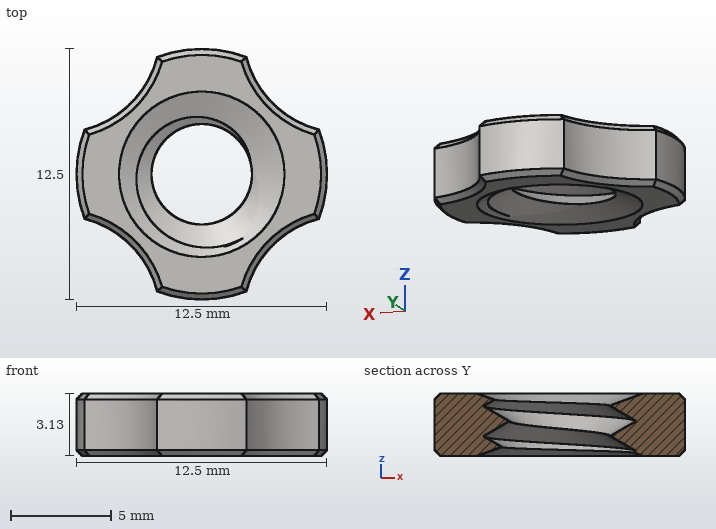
import cadquery as cq
import math

body_diameter = 12.5
body_radius = body_diameter / 2
thickness = body_diameter / 4
edge_chamfer = 0.3
scallop_count = 4
scallop_radius = 5.0
scallop_center_radius = 10.0
first_scallop_angle = 180 / scallop_count

bore_radius = 2.5
countersink_radius = 4.125
countersink_angle = 20.0
countersink_slope = math.tan(math.radians(countersink_angle))
countersink_depth = (countersink_radius - bore_radius) * countersink_slope

pitch = 1.5
flank_angle = 30.0
crest_flat = 0.01
groove_overlap = 0.2
overrun_turns = 1
root_exit_angle = -57.6


def make_body():
    body = cq.Workplane("XY").circle(body_radius).extrude(thickness)
    scallops = (
        cq.Workplane("XY")
        .polarArray(scallop_center_radius, first_scallop_angle, 360, scallop_count)
        .circle(scallop_radius)
        .extrude(thickness)
    )
    return body.cut(scallops).faces("<Z or >Z").chamfer(edge_chamfer)


def make_bore():
    return cq.Workplane("XY").circle(bore_radius).extrude(thickness)


def make_countersinks():
    lower = (
        cq.Workplane("XZ")
        .lineTo(countersink_radius, 0)
        .lineTo(bore_radius, countersink_depth)
        .lineTo(0, countersink_depth)
        .close()
        .revolve(360, (0, 0), (0, 1))
    )
    upper = lower.mirror("XY").translate((0, 0, thickness))
    return lower, upper


def make_thread_groove():
    """V groove swept along a helix that overruns both faces of the body."""
    half_width = (pitch - crest_flat) / 2
    root_radius = bore_radius + half_width / math.tan(math.radians(flank_angle))
    inner_radius = bore_radius - groove_overlap

    root_exit_height = thickness - (countersink_radius - root_radius) * countersink_slope
    turns_below_exit = math.ceil(thickness / pitch) + overrun_turns
    turns = turns_below_exit + overrun_turns
    start_height = root_exit_height - turns_below_exit * pitch

    helix = cq.Wire.makeHelix(pitch, turns * pitch, bore_radius)
    groove = (
        cq.Workplane("XZ")
        .moveTo(inner_radius, -half_width)
        .lineTo(bore_radius, -half_width)
        .lineTo(root_radius, 0)
        .lineTo(bore_radius, half_width)
        .lineTo(inner_radius, half_width)
        .close()
        .sweep(cq.Workplane(obj=helix), isFrenet=True)
    )
    return groove.rotate((0, 0, 0), (0, 0, 1), root_exit_angle).translate((0, 0, start_height))


result = make_body().cut(make_bore())
for countersink in make_countersinks():
    result = result.cut(countersink)
result = result.cut(make_thread_groove())